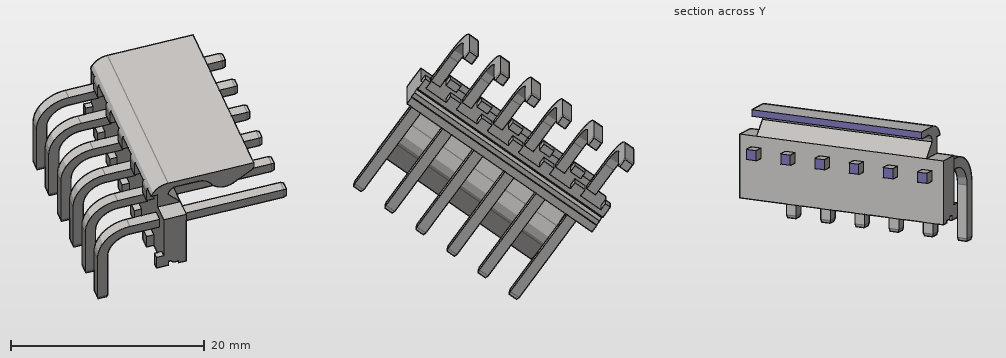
import cadquery as cq
import math


wall_length = 23.6
wall_depth = 2.48
wall_height = 6.87

groove_front_y = 0.52
groove_ramp_front_y = 0.75
groove_ramp_back_y = 1.1
groove_back_y = 1.63
groove_deep = 0.55
groove_shallow = 0.25

pin_count = 6
pitch = 3.97
pin_size = 1.13
pin_center_z = 5.1
pin_back_y = 13.9
pin_front_y = -6.8
pin_bottom_z = -3.97
bend_radius = 2.97
tip_length = 0.33
tip_inset = 0.1

block_width = 1.3
block_depth = 0.8
foot_height = 1.58

latch_width = 19.7
latch_top_z = 10.0
latch_end_y = 10.5
outer_bend_radius = 1.94
inner_bend_radius = 0.9
arm_thickness = 0.75
neck_depth = 1.15
hook_radius = 1.75
hook_drop = 1.75
hook_root_y = 4.35
hook_lead_angle = math.radians(33)
recess_top_z = 8.65


def block(x_start, x_end, y_start, y_end, z_start, z_end):
    """Axis-aligned box between the given limits."""
    size = (x_end - x_start, y_end - y_start, z_end - z_start)
    return cq.Workplane("XY").box(*size, centered=False).translate((x_start, y_start, z_start))


def front_block(x_center, z_start, z_end):
    """Block standing out from the front face of the wall."""
    half = block_width / 2
    return block(x_center - half, x_center + half, -block_depth, 0, z_start, z_end)


def row_positions(count):
    """X positions of a centred row of features spaced by the pin pitch."""
    return [(index - (count - 1) / 2) * pitch for index in range(count)]


def make_wall():
    return (
        cq.Workplane("YZ")
        .moveTo(0, 0)
        .lineTo(groove_front_y, 0)
        .lineTo(groove_front_y, groove_deep)
        .lineTo(groove_ramp_front_y, groove_deep)
        .lineTo(groove_ramp_back_y, groove_shallow)
        .lineTo(groove_back_y, groove_shallow)
        .lineTo(groove_back_y, 0)
        .lineTo(wall_depth, 0)
        .lineTo(wall_depth, wall_height)
        .lineTo(0, wall_height)
        .close()
        .extrude(wall_length / 2, both=True)
    )


def make_feet():
    """Feet between the pins, plus a half-width one flush with each end of the wall."""
    half_length = wall_length / 2
    end_inner_x = half_length - block_width / 2
    feet = block(-half_length, -end_inner_x, -block_depth, 0, 0, foot_height)
    feet = feet.union(block(end_inner_x, half_length, -block_depth, 0, 0, foot_height))
    for block_x in row_positions(pin_count - 1):
        feet = feet.union(front_block(block_x, 0, foot_height))
    return feet


def make_latch():
    """Springy arm that rises from the wall, bends back and ends in a rounded hook."""
    arm_under_z = latch_top_z - arm_thickness
    bend_center_y = outer_bend_radius - block_depth
    bend_center_z = latch_top_z - outer_bend_radius
    outer_mid = outer_bend_radius * math.sqrt(0.5)
    inner_center_y = neck_depth + inner_bend_radius
    inner_center_z = arm_under_z - inner_bend_radius
    inner_mid = inner_bend_radius * math.sqrt(0.5)

    sweep = math.acos(1 - hook_drop / (2 * hook_radius))
    crest_y = hook_root_y + 2 * hook_radius * math.sin(sweep)
    crest_center_z = arm_under_z - hook_drop + hook_radius
    root_center_z = arm_under_z - hook_radius

    def root_point(angle):
        return (hook_root_y + hook_radius * math.sin(angle), root_center_z + hook_radius * math.cos(angle))

    def crest_point(angle):
        return (crest_y + hook_radius * math.sin(angle), crest_center_z - hook_radius * math.cos(angle))

    slope_y, slope_z = crest_point(hook_lead_angle)
    lip_z = slope_z + (latch_end_y - slope_y) * math.tan(hook_lead_angle)

    profile = (
        cq.Workplane("YZ")
        .moveTo(-block_depth, wall_height)
        .lineTo(-block_depth, bend_center_z)
        .threePointArc(
            (bend_center_y - outer_mid, bend_center_z + outer_mid),
            (bend_center_y, latch_top_z),
        )
        .lineTo(latch_end_y, latch_top_z)
        .lineTo(latch_end_y, lip_z)
        .lineTo(slope_y, slope_z)
        .threePointArc(crest_point(0), crest_point(-sweep))
        .threePointArc(root_point(sweep / 2), root_point(0))
        .lineTo(inner_center_y, arm_under_z)
        .threePointArc(
            (inner_center_y - inner_mid, inner_center_z + inner_mid),
            (neck_depth, inner_center_z),
        )
        .lineTo(wall_depth, wall_height)
        .close()
    )
    latch = profile.extrude(latch_width / 2, both=True)

    half_width = latch_width / 2
    recess = block(-half_width, half_width, -block_depth, 0, wall_height, recess_top_z)
    for block_x in row_positions(pin_count - 1):
        recess = recess.cut(front_block(block_x, wall_height, recess_top_z))
    return latch.cut(recess)


def make_tip(plane):
    """Tapered pin end that narrows along the normal of the given plane."""
    end_size = pin_size - 2 * tip_inset
    return (
        cq.Workplane(plane)
        .rect(pin_size, pin_size)
        .workplane(offset=tip_length)
        .rect(end_size, end_size)
        .loft(ruled=True)
    )


def make_pin():
    """Square pin running forward through the wall and bending down, tapered at both ends."""
    leg_y = pin_front_y + pin_size / 2
    back_y = pin_back_y - tip_length
    bottom_z = pin_bottom_z + tip_length
    bend_y = leg_y + bend_radius
    bend_z = pin_center_z - bend_radius
    bend_mid = bend_radius * math.sqrt(0.5)
    path = (
        cq.Workplane("YZ")
        .moveTo(back_y, pin_center_z)
        .lineTo(bend_y, pin_center_z)
        .threePointArc((bend_y - bend_mid, bend_z + bend_mid), (leg_y, bend_z))
        .lineTo(leg_y, bottom_z)
    )
    back_plane = cq.Plane(origin=(0, back_y, pin_center_z), xDir=(1, 0, 0), normal=(0, 1, 0))
    bottom_plane = cq.Plane(origin=(0, leg_y, bottom_z), xDir=(1, 0, 0), normal=(0, 0, -1))
    shaft = cq.Workplane(back_plane).rect(pin_size, pin_size).sweep(path)
    return shaft.union(make_tip(back_plane)).union(make_tip(bottom_plane))


result = make_wall().union(make_feet()).union(make_latch())
pin = make_pin()
for pin_x in row_positions(pin_count):
    result = result.union(pin.translate((pin_x, 0, 0)))